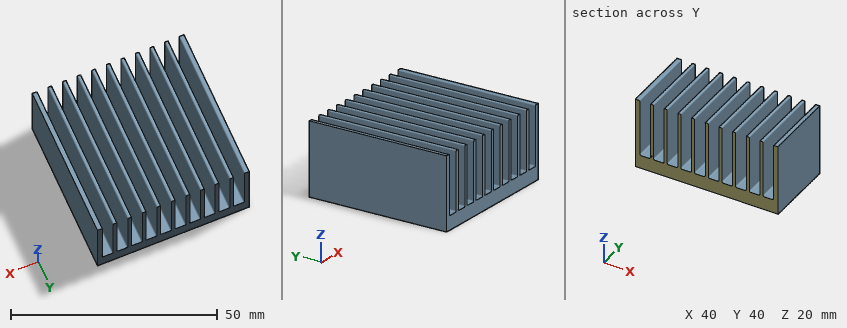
import cadquery as cq

width = 40.0
depth = 40.0
height = 20.0
base_thickness = 3.9

channel_count = 10
fin_pitch = 3.85
fin_tip_flat = 0.3
fillet_radius = 0.34
fin_thickness = fin_tip_flat + 2 * fillet_radius
channel_width = fin_pitch - fin_thickness


def channel_centers():
    """X positions of the channels, symmetric about the middle of the block."""
    first = -fin_pitch * (channel_count - 1) / 2
    return [first + i * fin_pitch for i in range(channel_count)]


def channel_cutter(center):
    """Full-depth channel with rounded floor corners that flares out around the fin tips."""
    half = channel_width / 2
    return (
        cq.Workplane("XZ", origin=(center, depth / 2, 0))
        .moveTo(-half - fillet_radius, height)
        .radiusArc((-half, height - fillet_radius), fillet_radius)
        .lineTo(-half, base_thickness + fillet_radius)
        .radiusArc((-half + fillet_radius, base_thickness), -fillet_radius)
        .lineTo(half - fillet_radius, base_thickness)
        .radiusArc((half, base_thickness + fillet_radius), -fillet_radius)
        .lineTo(half, height - fillet_radius)
        .radiusArc((half + fillet_radius, height), fillet_radius)
        .close()
        .extrude(depth)
    )


result = cq.Workplane("XY").box(width, depth, height, centered=(True, True, False))

for channel_center in channel_centers():
    result = result.cut(channel_cutter(channel_center))